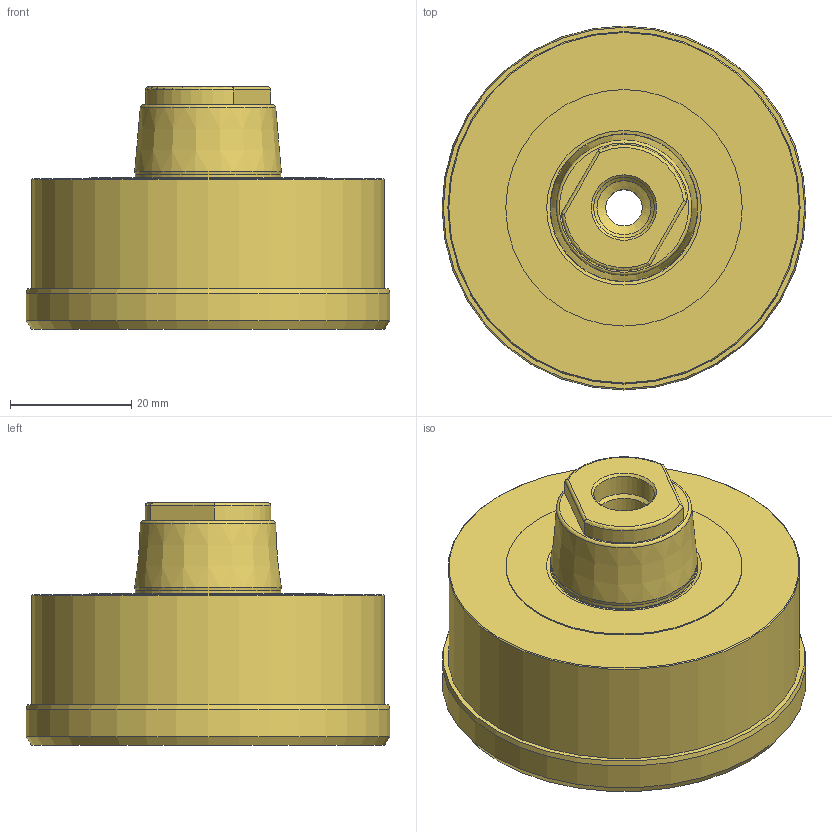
import cadquery as cq
import math

FLANGE_TOP_Z = 6.65
BODY_TOP_Z = 24.8
DISC_TOP_Z = 25.0
CONE_BASE_Z = 26.0
SHOULDER_Z = 37.0
TOP_Z = 39.95

FLANGE_RADIUS = 30.01
FLANGE_TOP_RADIUS = 29.8
FLANGE_TAPER_HEIGHT = 0.85
BASE_CHAMFER_HEIGHT = 1.4
BASE_CHAMFER_WIDTH = 0.9

BODY_RADIUS = 29.05
BODY_EDGE_CHAMFER = 0.15
DISC_RADIUS = 19.5

DISH_RADIUS = 12.75
DISH_FLOOR_RADIUS = 12.2
DISH_DEPTH = 0.15

NECK_RADIUS = 12.0
NECK_TOP_Z = 25.45
CONE_BASE_RADIUS = 12.09
CONE_TOP_RADIUS = 11.12
CONE_EDGE_FILLET = 0.5

CAP_RADIUS = 10.4
CAP_FILLET = 0.5
ACROSS_FLATS = 16.9
FLAT_NORMAL_ANGLE = -30.0

MOUTH_RADIUS = 5.4
MOUTH_CHAMFER = 0.4
COUNTERBORE_RADIUS = MOUTH_RADIUS - MOUTH_CHAMFER
COUNTERBORE_DEPTH = 3.9
STEP_RADIUS = 4.46
STEP_CHAMFER = COUNTERBORE_RADIUS - STEP_RADIUS
STEP_BOTTOM_Z = BODY_TOP_Z
THROUGH_RADIUS = 3.0
DRILL_POINT_ANGLE = 118.0
STEP_CONE_HEIGHT = (STEP_RADIUS - THROUGH_RADIUS) / math.tan(math.radians(DRILL_POINT_ANGLE / 2))


def revolve_profile(points):
    """Revolve a closed (radius, height) outline about the Z axis."""
    outline = cq.Workplane("XZ").polyline(points).close()
    return outline.revolve(360, (0, 0, 0), (0, 1, 0))


def make_base():
    """Flange, body, raised disc, dish and tapered spindle."""
    base = revolve_profile([
        (0, 0),
        (FLANGE_RADIUS - BASE_CHAMFER_WIDTH, 0),
        (FLANGE_RADIUS, BASE_CHAMFER_HEIGHT),
        (FLANGE_RADIUS, FLANGE_TOP_Z - FLANGE_TAPER_HEIGHT),
        (FLANGE_TOP_RADIUS, FLANGE_TOP_Z),
        (BODY_RADIUS, FLANGE_TOP_Z),
        (BODY_RADIUS, BODY_TOP_Z - BODY_EDGE_CHAMFER),
        (BODY_RADIUS - BODY_EDGE_CHAMFER, BODY_TOP_Z),
        (DISC_RADIUS, BODY_TOP_Z),
        (DISC_RADIUS, DISC_TOP_Z),
        (DISH_RADIUS, DISC_TOP_Z),
        (DISH_FLOOR_RADIUS, DISC_TOP_Z - DISH_DEPTH),
        (NECK_RADIUS, DISC_TOP_Z - DISH_DEPTH),
        (NECK_RADIUS, NECK_TOP_Z),
        (CONE_BASE_RADIUS, CONE_BASE_Z),
        (CONE_TOP_RADIUS, SHOULDER_Z),
        (0, SHOULDER_Z),
    ])
    return base.faces(">Z").edges().fillet(CONE_EDGE_FILLET)


def make_cap():
    """Round cap with two parallel flats, rounded along its top edge."""
    height = TOP_Z - SHOULDER_Z
    plane = cq.Workplane("XY").workplane(offset=SHOULDER_Z)
    round_cap = plane.circle(CAP_RADIUS).extrude(height)
    flats = plane.rect(ACROSS_FLATS, 2 * CAP_RADIUS).extrude(height)
    cap = round_cap.intersect(flats).faces(">Z").edges().fillet(CAP_FILLET)
    return cap.rotate((0, 0, 0), (0, 0, 1), FLAT_NORMAL_ANGLE)


def make_bore():
    """Chamfered counterbore, stepped bore and through hole."""
    counterbore_floor_z = TOP_Z - COUNTERBORE_DEPTH
    return revolve_profile([
        (0, 0),
        (THROUGH_RADIUS, 0),
        (THROUGH_RADIUS, STEP_BOTTOM_Z - STEP_CONE_HEIGHT),
        (STEP_RADIUS, STEP_BOTTOM_Z),
        (STEP_RADIUS, counterbore_floor_z - STEP_CHAMFER),
        (COUNTERBORE_RADIUS, counterbore_floor_z),
        (COUNTERBORE_RADIUS, TOP_Z - MOUTH_CHAMFER),
        (MOUTH_RADIUS, TOP_Z),
        (0, TOP_Z),
    ])


result = make_base().union(make_cap()).cut(make_bore())